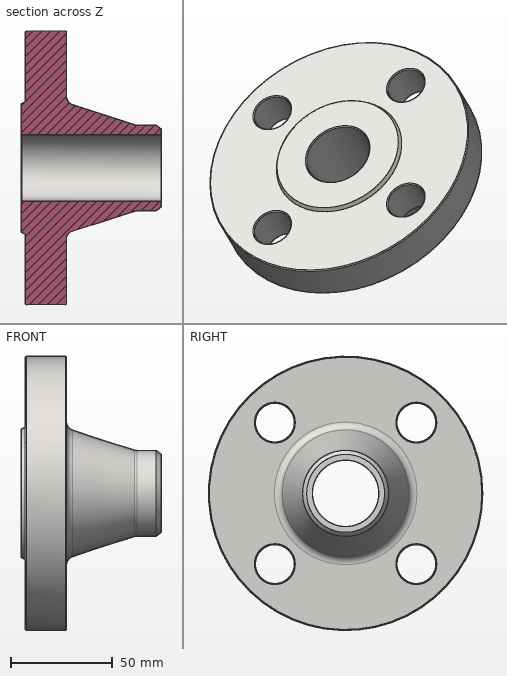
import cadquery as cq
import math


total_length = 69.0
face_height = 2.0
flange_back = 22.4
taper_end = 56.4

flange_diameter = 135
face_diameter = 63.2
face_root_diameter = 65.3
hub_base_diameter = 64.3
weld_diameter = 42.3
bore_diameter = 32.5

bolt_count = 4
bolt_diameter = 19.0
bolt_circle_diameter = 98.4
first_bolt_angle = 45

edge_chamfer = 0.5
weld_bevel_length = 2.5
weld_bevel_angle = 37.5
hub_fillet = 4


def cylinder(diameter, start, end):
    """Solid cylinder around the X axis between two X positions."""
    return cq.Workplane("YZ", origin=(start, 0, 0)).circle(diameter / 2).extrude(end - start)


def make_flange():
    disc = cylinder(flange_diameter, face_height, flange_back)
    return disc.edges().chamfer(edge_chamfer)


def cone(start_diameter, end_diameter, start, height):
    """Solid truncated cone around the X axis, beginning at an X position."""
    return cq.Workplane(
        cq.Solid.makeCone(
            start_diameter / 2,
            end_diameter / 2,
            height,
            pnt=cq.Vector(start, 0, 0),
            dir=cq.Vector(1, 0, 0),
        )
    )


def make_raised_face():
    """Sealing face with a sloped rim that widens toward the flange."""
    return cone(face_diameter, face_root_diameter, 0, face_height)


def make_neck():
    """Tapered hub and weld end, with concave blends at both ends of the taper."""
    bevel_start = total_length - weld_bevel_length
    flange_radius = flange_diameter / 2 - edge_chamfer
    neck = (
        cq.Workplane("XY")
        .moveTo(face_height, 0)
        .lineTo(face_height, flange_radius)
        .lineTo(flange_back, flange_radius)
        .lineTo(flange_back, hub_base_diameter / 2)
        .lineTo(taper_end, weld_diameter / 2)
        .lineTo(bevel_start, weld_diameter / 2)
        .lineTo(bevel_start, 0)
        .close()
        .revolve(360, (0, 0, 0), (1, 0, 0))
    )
    neck = neck.faces("%CONE").edges("%CIRCLE").fillet(hub_fillet)
    weld_bevel_depth = weld_bevel_length * math.tan(math.radians(weld_bevel_angle))
    bevel_tip = cone(weld_diameter, weld_diameter - 2 * weld_bevel_depth, bevel_start, weld_bevel_length)
    return neck.union(bevel_tip)


def make_hole(diameter, start, end):
    """Cutter for a through hole with a chamfer at its start."""
    mouth = cone(diameter + 2 * edge_chamfer, diameter, start, edge_chamfer)
    return cylinder(diameter, start, end).union(mouth)


def make_bolt_hole(angle):
    """Bolt hole cutter, chamfered on both faces of the flange."""
    middle = (face_height + flange_back) / 2
    front_half = make_hole(bolt_diameter, face_height, middle)
    back_half = front_half.mirror("YZ", (middle, 0, 0))
    radius = bolt_circle_diameter / 2
    y = radius * math.cos(math.radians(angle))
    z = radius * math.sin(math.radians(angle))
    return front_half.union(back_half).translate((0, y, z))


result = make_flange().union(make_raised_face()).union(make_neck())
result = result.cut(make_hole(bore_diameter, 0, total_length))
for index in range(bolt_count):
    result = result.cut(make_bolt_hole(first_bolt_angle + index * 360 / bolt_count))